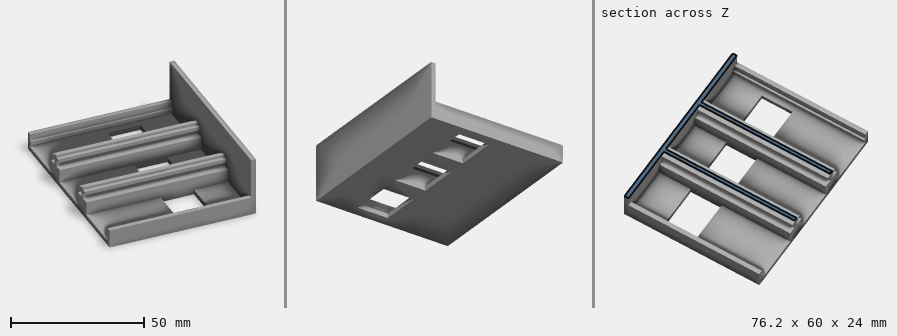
import cadquery as cq

length = 76.2
depth = 60.0
height = 24.0

plate_thickness = 2.0
channel_depth = depth - plate_thickness

wall_height = 7.5
wall_thickness = 1.8
lip_width = 0.85
lip_bottom = 2.9
lip_top = 4.65

rail_spacing = 24.9
pedestal_width = 7.85
stem_width = 1.6
stem_top = 12.2
crossbar_width = 4.95
crossbar_bottom = 9.8
crossbar_top = 11.3

window_width = rail_spacing - pedestal_width
window_depth = 13.65
window_back_offset = 15.85
window_front = depth - window_back_offset - window_depth


def block(center_x, width, bottom, top, front=0.0, block_depth=channel_depth):
    """Box centred at center_x, running back along Y from front."""
    return (
        cq.Workplane("XY")
        .box(width, block_depth, top - bottom, centered=(True, False, False))
        .translate((center_x, front, bottom))
    )


def base():
    floor = block(0, length, 0, plate_thickness, block_depth=depth)
    back = block(0, length, 0, height, front=channel_depth, block_depth=plate_thickness)
    return floor.union(back)


def side_wall(side):
    """Wall and lip; side is -1 for the left edge and 1 for the right edge."""
    wall_x = side * (length - wall_thickness) / 2
    lip_x = side * (length / 2 - wall_thickness - lip_width / 2)
    wall = block(wall_x, wall_thickness, 0, wall_height)
    return wall.union(block(lip_x, lip_width, lip_bottom, lip_top))


def rail(center_x):
    pedestal = block(center_x, pedestal_width, 0, wall_height)
    stem = block(center_x, stem_width, 0, stem_top)
    crossbar = block(center_x, crossbar_width, crossbar_bottom, crossbar_top)
    return pedestal.union(stem).union(crossbar)


def window(center_x):
    return block(center_x, window_width, 0, plate_thickness, window_front, window_depth)


result = base()
for side in (-1, 1):
    result = result.union(side_wall(side)).union(rail(side * rail_spacing / 2))
for bay in (-1, 0, 1):
    result = result.cut(window(bay * rail_spacing))